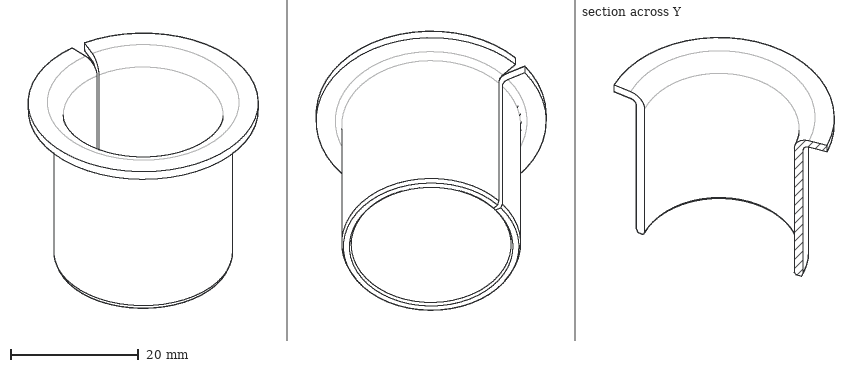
import cadquery as cq
import math

bore_radius = 12.5
wall = 1.5
length = 30.0
flange_radius = 18.0
inner_bend_radius = 1.0
outer_chamfer_height = 0.75
outer_chamfer_angle = 20.0
bore_chamfer_height = 0.5
bore_chamfer_angle = 30.0
slit_width_at_bore = 0.36
slit_flank_angle = 10.0

sleeve_radius = bore_radius + wall
outer_bend_radius = inner_bend_radius + wall
bend_center_radius = sleeve_radius + inner_bend_radius
bend_center_height = length - outer_bend_radius
flange_underside = length - wall
outer_chamfer_depth = outer_chamfer_height * math.tan(math.radians(outer_chamfer_angle))
bore_chamfer_depth = bore_chamfer_height * math.tan(math.radians(bore_chamfer_angle))
bend_diagonal = math.sqrt(0.5)


def bend_midpoint(radius):
    """Halfway point of a bend arc, in the radius-height plane."""
    return (
        bend_center_radius - radius * bend_diagonal,
        bend_center_height + radius * bend_diagonal,
    )


def flanged_sleeve():
    """Constant-thickness sleeve bent outward into a flange, revolved about Z."""
    profile = (
        cq.Workplane("XZ")
        .moveTo(bore_radius, bore_chamfer_height)
        .lineTo(bore_radius + bore_chamfer_depth, 0)
        .lineTo(sleeve_radius - outer_chamfer_depth, 0)
        .lineTo(sleeve_radius, outer_chamfer_height)
        .lineTo(sleeve_radius, bend_center_height)
        .threePointArc(bend_midpoint(inner_bend_radius), (bend_center_radius, flange_underside))
        .lineTo(flange_radius, flange_underside)
        .lineTo(flange_radius, length)
        .lineTo(bend_center_radius, length)
        .threePointArc(bend_midpoint(outer_bend_radius), (bore_radius, bend_center_height))
        .close()
    )
    sleeve = profile.revolve(360, (0, 0, 0), (0, 1, 0))
    return sleeve.rotate((0, 0, 0), (0, 0, 1), 180)


def slit_cutter():
    """Full-height wedge on the -X side that widens outward from the bore."""
    flank_slope = math.tan(math.radians(slit_flank_angle))
    apex_radius = bore_radius - slit_width_at_bore / 2 / flank_slope
    end_radius = flange_radius + wall
    end_half_width = (end_radius - apex_radius) * flank_slope
    return (
        cq.Workplane("XY")
        .moveTo(-apex_radius, 0)
        .lineTo(-end_radius, end_half_width)
        .lineTo(-end_radius, -end_half_width)
        .close()
        .extrude(length)
    )


result = flanged_sleeve().cut(slit_cutter())